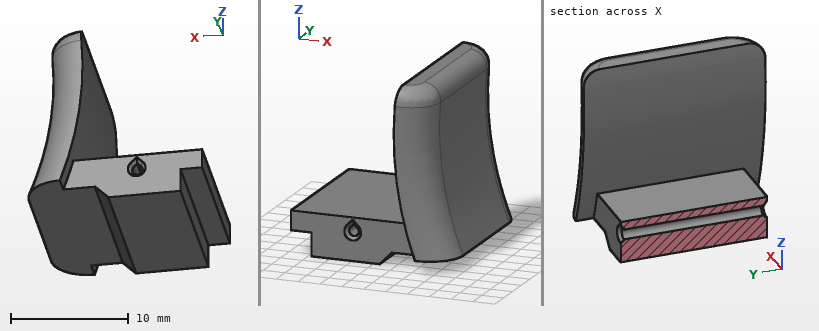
import cadquery as cq
import math

base_width = 13.3
base_top = 3.88
ledge_bottom = 2.11
ledge_length = 1.86
neck_bottom = 1.15
foot_end = 8.1
base_end = 12.54

plate_width = 16.5
plate_top = 16.15
plate_thickness = 3.0
plate_inner_radius = 29.0
plate_outer_radius = plate_inner_radius + plate_thickness
plate_nearest_x = 10.03
plate_nearest_z = 12.15
side_round = 2.99
top_round = 1.5

hole_x = 5.65
hole_z = 2.59
hole_radius = 0.45
hole_chamfer = 0.31


def make_base():
    """Stepped base block, extruded symmetrically about Y = 0."""
    outline = [
        (0, base_top),
        (0, ledge_bottom),
        (ledge_length, ledge_bottom),
        (ledge_length, 0),
        (foot_end, 0),
        (foot_end + neck_bottom, neck_bottom),
        (base_end, neck_bottom),
        (base_end, base_top),
    ]
    return cq.Workplane("XZ").polyline(outline).close().extrude(base_width / 2, both=True)


def plate_point(radius, z):
    """Point at height z on an arc about the common centre of both plate faces."""
    centre_x = plate_nearest_x + plate_outer_radius
    return (centre_x - math.sqrt(radius**2 - (z - plate_nearest_z) ** 2), z)


def make_plate():
    """Arched plate with rounded side and top edges on the face away from the base."""
    middle_z = (neck_bottom + plate_top) / 2
    plate = (
        cq.Workplane("XZ")
        .moveTo(*plate_point(plate_outer_radius, neck_bottom))
        .threePointArc(
            plate_point(plate_outer_radius, middle_z),
            plate_point(plate_outer_radius, plate_top),
        )
        .lineTo(*plate_point(plate_inner_radius, plate_top))
        .threePointArc(
            plate_point(plate_inner_radius, middle_z),
            plate_point(plate_inner_radius, neck_bottom),
        )
        .close()
        .extrude(plate_width / 2, both=True)
    )
    for end in ("<Y", ">Y"):
        plate = plate.faces(end).edges("%CIRCLE").edges(">X").fillet(side_round)
    return plate.faces(">Z").edges("not <X").fillet(top_round)


def cut_hole(body):
    """Teardrop hole along Y with a 45 degree roof, chamfered at both mouths."""
    tangent = hole_radius / math.sqrt(2)
    bore = (
        cq.Workplane("XZ", origin=(hole_x, 0, hole_z))
        .moveTo(-tangent, tangent)
        .threePointArc((0, -hole_radius), (tangent, tangent))
        .lineTo(0, hole_radius * math.sqrt(2))
        .close()
        .extrude(base_width / 2, both=True)
    )
    mouth_reach = 2 * hole_radius
    mouths = cq.selectors.BoxSelector(
        (hole_x - mouth_reach, -base_width, hole_z - mouth_reach),
        (hole_x + mouth_reach, base_width, hole_z + mouth_reach),
    )
    mouth_edges = body.cut(bore).edges("#Y").edges(mouths)
    return mouth_edges.chamfer(hole_chamfer)


result = cut_hole(make_base().union(make_plate()))